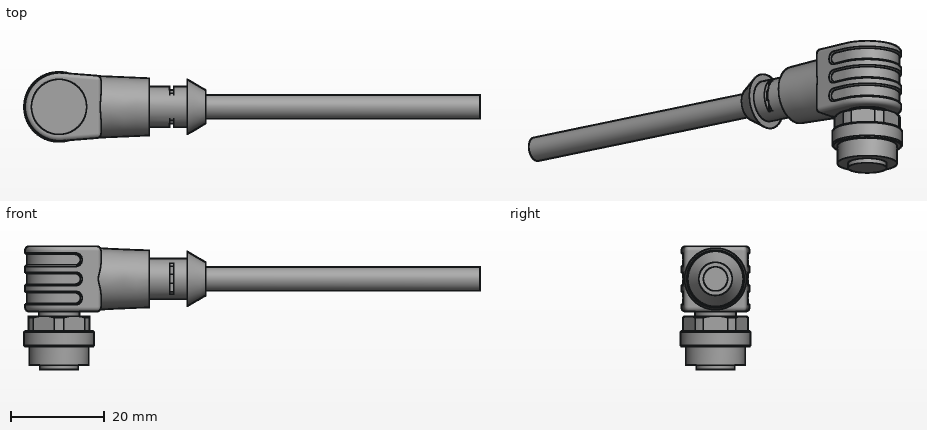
import cadquery as cq
import math


overall_length = 97.55

head_radius = 7.3
head_half_height = 7.0
head_end_x = 9.0
head_taper = 4.5
head_round = 1.0
cap_recess_diameter = 11.8
cap_recess_depth = 0.1

groove_count = 3
groove_pitch = 4.1
groove_width = 2.9
groove_floor_width = 2.2
groove_depth = 0.4
groove_side_length = 4.4
groove_overlap = 1.95

neck_diameter = 8.8
neck_bottom = -8.0
nut_across_flats = 13.1
nut_corner_diameter = 14.0
nut_bottom = -11.1
nut_bevel_width = 0.4
nut_bevel_height = 0.3
collar_diameter = 15.0
collar_bottom = -14.5
collar_chamfer = 0.3
sleeve_diameter = 12.8
sleeve_bottom = -18.4
tip_diameter = 8.3
tip_bottom = -19.4

cone_start_diameter = 13.4
cone_end_diameter = 12.3
cone_end_x = 19.3
boot_diameter = 8.8
flange_x = 27.4
flange_diameter = 11.8
flange_end_diameter = 7.1
flange_end_x = 31.4
cable_diameter = 5.2
cable_end_x = overall_length - collar_diameter / 2

notch_x = 24.1
notch_width = 0.9
notch_half_height = 3.3
notch_floor_radius = 4.0
notch_floor = 2.9
land_half_height = 1.0
land_face = 3.6


def head_prism():
    """Round-nosed prism with sides tapering towards the cable."""
    angle = math.radians(head_taper)
    tangent_x = head_radius * math.sin(angle)
    tangent_y = head_radius * math.cos(angle)
    end_y = tangent_y - (head_end_x - tangent_x) * math.tan(angle)
    return (
        cq.Workplane("XY")
        .workplane(offset=-head_half_height)
        .moveTo(tangent_x, tangent_y)
        .threePointArc((-head_radius, 0), (tangent_x, -tangent_y))
        .lineTo(head_end_x, -end_y)
        .lineTo(head_end_x, end_y)
        .close()
        .extrude(2 * head_half_height)
    )


def grip_groove(z):
    """Sloped-wall groove: a band around the nose running into a round-ended slot on each side."""
    angle = math.radians(head_taper)
    floor_radius = head_radius - groove_depth
    nose_band = (
        cq.Workplane("XZ")
        .moveTo(head_radius, -groove_width / 2)
        .lineTo(head_radius, groove_width / 2)
        .lineTo(floor_radius, groove_floor_width / 2)
        .lineTo(floor_radius, -groove_floor_width / 2)
        .close()
        .revolve(180 + 2 * head_taper, (0, 0, 0), (0, 1, 0))
        .rotate((0, 0, 0), (0, 0, 1), 90 - head_taper)
    )

    side_plane = cq.Plane(
        origin=(head_radius * math.sin(angle), head_radius * math.cos(angle), 0),
        xDir=(-math.cos(angle), math.sin(angle), 0),
        normal=(-math.sin(angle), -math.cos(angle), 0),
    )
    wall_slope = math.atan2((groove_width - groove_floor_width) / 2, groove_depth)
    round_centre = -(groove_side_length - groove_width / 2)
    side_slot = (
        cq.Workplane(side_plane)
        .moveTo(groove_overlap, -groove_width / 2)
        .lineTo(round_centre, -groove_width / 2)
        .threePointArc((round_centre - groove_width / 2, 0), (round_centre, groove_width / 2))
        .lineTo(groove_overlap, groove_width / 2)
        .close()
        .extrude(groove_depth, taper=math.degrees(wall_slope))
    )
    return nose_band.union(side_slot).union(side_slot.mirror("XZ")).translate((0, 0, z))


def head():
    """Rounded prism with a shallow recess on top and the grip grooves around it."""
    body = head_prism().edges("|Z and >X").fillet(head_round)
    body = body.faces("<Z or >Z").edges().fillet(head_round)
    cap_recess = (
        cq.Workplane("XY")
        .workplane(offset=head_half_height - cap_recess_depth)
        .circle(cap_recess_diameter / 2)
        .extrude(cap_recess_depth)
    )
    body = body.cut(cap_recess)
    for index in range(groove_count):
        groove_z = (index - (groove_count - 1) / 2) * groove_pitch
        body = body.cut(grip_groove(groove_z))
    return body


def disc(diameter, top, bottom):
    """Disc on the plug axis between two heights."""
    return cq.Workplane("XY").workplane(offset=bottom).circle(diameter / 2).extrude(top - bottom)


def plug():
    """Neck, bevelled hexagon nut, collar, sleeve and tip, stacked downwards."""
    neck = disc(neck_diameter, 0, neck_bottom)
    corner_to_corner = nut_across_flats / math.cos(math.radians(30))
    bevelled_disc = (
        disc(nut_corner_diameter, neck_bottom, nut_bottom)
        .faces(">Z")
        .chamfer(nut_bevel_height, nut_bevel_width)
    )
    nut = (
        cq.Workplane("XY")
        .workplane(offset=nut_bottom)
        .transformed(rotate=(0, 0, 30))
        .polygon(6, corner_to_corner)
        .extrude(neck_bottom - nut_bottom)
        .intersect(bevelled_disc)
    )
    collar = disc(collar_diameter, nut_bottom, collar_bottom).edges().chamfer(collar_chamfer)
    sleeve = disc(sleeve_diameter, collar_bottom, sleeve_bottom)
    tip = disc(tip_diameter, sleeve_bottom, tip_bottom)
    return neck.union(nut).union(collar).union(sleeve).union(tip)


def notch_block(half_height, inner_y):
    """Block across the notch, from inner_y out past the boot surface."""
    block = cq.Workplane("XY").box(notch_width, boot_diameter, 2 * half_height)
    return block.translate((notch_x, inner_y + boot_diameter / 2, 0))


def boot_notch():
    """Cutter for the notch on the +Y side."""
    core = (
        cq.Workplane("YZ")
        .workplane(offset=notch_x - notch_width)
        .circle(notch_floor_radius)
        .extrude(2 * notch_width)
    )
    rounded_part = notch_block(notch_half_height, 0).cut(core)
    rounded_part = rounded_part.cut(notch_block(land_half_height, 0))
    flat_part = notch_block(notch_half_height, notch_floor)
    land = notch_block(land_half_height, 0).cut(notch_block(land_half_height, land_face))
    return rounded_part.union(flat_part.cut(land))


def strain_relief_and_cable():
    """Tapered cone, notched boot, flange and cable turned about the cable axis."""
    cone_start_x = head_end_x - 2 * head_round
    body = (
        cq.Workplane("XY")
        .moveTo(cone_start_x, 0)
        .lineTo(cone_start_x, cone_start_diameter / 2)
        .lineTo(cone_end_x, cone_end_diameter / 2)
        .lineTo(cone_end_x, boot_diameter / 2)
        .lineTo(flange_x, boot_diameter / 2)
        .lineTo(flange_x, flange_diameter / 2)
        .lineTo(flange_end_x, flange_end_diameter / 2)
        .lineTo(flange_end_x, cable_diameter / 2)
        .lineTo(cable_end_x, cable_diameter / 2)
        .lineTo(cable_end_x, 0)
        .close()
        .revolve(360, (0, 0, 0), (1, 0, 0))
    )
    notch = boot_notch()
    return body.cut(notch).cut(notch.mirror("XZ"))


result = head().union(plug()).union(strain_relief_and_cable())